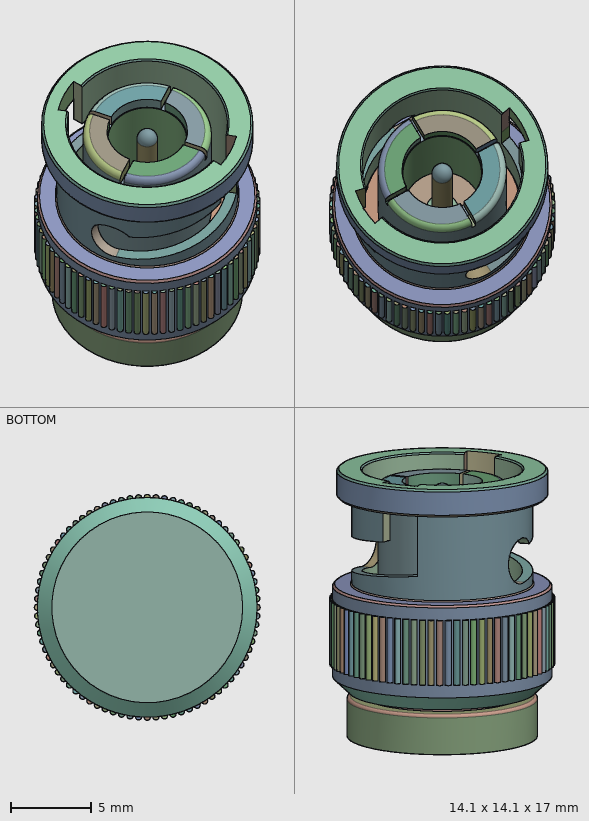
import cadquery as cq
import math

total_height = 17.0
rear_body_top = 2.55
flange_top = 2.74
nut_bottom = 2.85
nut_cone_top = 3.8
knurl_bottom = 4.62
nut_cavity_floor = 7.79
shoulder_top = 8.3
knurl_top = 8.75
nut_ring_top = 9.67
collar_bottom = 15.25
contact_top = 16.22

collar_radius = 13.2 / 2
sleeve_radius = 11.3 / 2
sleeve_bore_radius = 10.0 / 2
nut_ring_radius = 13.7 / 2
knurl_outer_radius = 14.1 / 2
nut_bottom_radius = 5.85
nut_edge_chamfer = 0.14
sleeve_root_chamfer = 0.08
bore_chamfer = 0.1
knurl_count = 80

locking_hole_radius = 1.45
locking_hole_z = 11.68
ramp_start_z = locking_hole_z - locking_hole_radius
ramp_height = 2.2
ramp_rise = 1.02
entry_half_angle = 12.5
slot_count = 2
cutter_overrun_inside = 0.68
cutter_overrun_outside = 0.07

contact_radius = 8.0 / 2
contact_neck_radius = 7.8 / 2
contact_flange_radius = 9.8 / 2
contact_lip_bore_radius = 5.0 / 2
contact_tip_fillet = 0.4
contact_slit_width = 0.25
contact_slit_angles = (0, 90)

dielectric_radius = 6.4 / 2
dielectric_bore_radius = 4.9 / 2
dielectric_top = 15.42
dielectric_floor = shoulder_top

pin_radius = 1.3 / 2
pin_base_radius = 2.0 / 2
pin_dome_center_z = 15.42

rear_body_radius = 11.9 / 2
rear_body_fillet = 0.2


def revolve_profile(profile):
    """Revolve an XZ half profile a full turn about the Z axis."""
    return profile.close().revolve(360, (0, 0, 0), (0, 1, 0))


def nut_blank():
    """Turned shape of the coupling nut: ring, sleeve and end collar."""
    profile = (
        cq.Workplane("XZ")
        .moveTo(contact_neck_radius, nut_bottom)
        .lineTo(nut_bottom_radius, nut_bottom)
        .lineTo(nut_ring_radius, nut_cone_top)
        .lineTo(nut_ring_radius, nut_ring_top - nut_edge_chamfer)
        .lineTo(nut_ring_radius - nut_edge_chamfer, nut_ring_top)
        .lineTo(sleeve_radius + sleeve_root_chamfer, nut_ring_top)
        .lineTo(sleeve_radius, nut_ring_top + sleeve_root_chamfer)
        .lineTo(sleeve_radius, collar_bottom - sleeve_root_chamfer)
        .lineTo(sleeve_radius + sleeve_root_chamfer, collar_bottom)
        .lineTo(collar_radius - nut_edge_chamfer, collar_bottom)
        .lineTo(collar_radius, collar_bottom + nut_edge_chamfer)
        .lineTo(collar_radius, total_height - nut_edge_chamfer)
        .lineTo(collar_radius - nut_edge_chamfer, total_height)
        .lineTo(sleeve_bore_radius + bore_chamfer, total_height)
        .lineTo(sleeve_bore_radius, total_height - bore_chamfer)
        .lineTo(sleeve_bore_radius, nut_cavity_floor)
        .lineTo(contact_neck_radius, nut_cavity_floor)
    )
    return revolve_profile(profile)


def polar(radius, angle):
    """Point in the XY plane at an angle in radians."""
    return (radius * math.cos(angle), radius * math.sin(angle))


def knurl_ridges():
    """Round vertical ridges, each centered on the ring's cylinder."""
    ridge_radius = knurl_outer_radius - nut_ring_radius
    return (
        cq.Workplane("XY", origin=(0, 0, knurl_bottom))
        .polarArray(nut_ring_radius, 0, 360, knurl_count)
        .circle(ridge_radius)
        .extrude(knurl_top - knurl_bottom)
    )


def locking_hole():
    """Round hole on the -Y side with walls that run radially."""
    inner_distance = sleeve_bore_radius - cutter_overrun_inside
    outer_distance = sleeve_radius + cutter_overrun_outside
    spread = math.tan(locking_hole_radius / sleeve_radius)
    return (
        cq.Workplane("XZ", origin=(0, -inner_distance, locking_hole_z))
        .ellipse(inner_distance * spread, locking_hole_radius)
        .workplane(offset=outer_distance - inner_distance)
        .ellipse(outer_distance * spread, locking_hole_radius)
        .loft(ruled=True)
    )


def ramp():
    """Helical slot that climbs from the locking hole to the far side of the entry channel."""
    sweep_angle = 90 + entry_half_angle
    pitch = ramp_rise * 360 / sweep_angle
    inner_radius = sleeve_bore_radius - cutter_overrun_inside
    outer_radius = sleeve_radius + cutter_overrun_outside
    helix = cq.Wire.makeHelix(pitch, ramp_rise, sleeve_radius)
    section = (
        cq.Workplane("XZ")
        .moveTo(inner_radius, 0)
        .lineTo(outer_radius, 0)
        .lineTo(outer_radius, ramp_height)
        .lineTo(inner_radius, ramp_height)
        .close()
    )
    swept = section.sweep(cq.Workplane(helix), isFrenet=True)
    return swept.rotate((0, 0, 0), (0, 0, 1), -90).translate((0, 0, ramp_start_z))


def entry_channel():
    """Radial-walled channel on the +X side, open at the top and as deep as the sleeve wall."""
    half_angle = math.radians(entry_half_angle)
    channel_bottom = ramp_start_z + ramp_rise + ramp_height / 2
    return (
        cq.Workplane("XY", origin=(0, 0, channel_bottom))
        .lineTo(*polar(sleeve_radius, -half_angle))
        .threePointArc((sleeve_radius, 0), polar(sleeve_radius, half_angle))
        .close()
        .extrude(total_height - channel_bottom)
    )


def make_coupling_nut():
    """Knurled nut with two bayonet slots half a turn apart."""
    nut = nut_blank()
    for index in range(slot_count):
        turn = index * 360 / slot_count
        for cutter in (locking_hole(), ramp(), entry_channel()):
            nut = nut.cut(cutter.rotate((0, 0, 0), (0, 0, 1), turn))
    return nut.union(knurl_ridges())


def make_outer_contact():
    """Slit tube whose neck carries the nut between a shoulder and a foot flange."""
    profile = (
        cq.Workplane("XZ")
        .moveTo(dielectric_radius, rear_body_top)
        .lineTo(contact_flange_radius, rear_body_top)
        .lineTo(contact_flange_radius, flange_top)
        .lineTo(contact_neck_radius, flange_top)
        .lineTo(contact_neck_radius, nut_cavity_floor)
        .lineTo(contact_flange_radius, nut_cavity_floor)
        .lineTo(contact_flange_radius, shoulder_top)
        .lineTo(contact_radius, shoulder_top)
        .lineTo(contact_radius, contact_top - contact_tip_fillet)
        .radiusArc((contact_radius - contact_tip_fillet, contact_top), -contact_tip_fillet)
        .lineTo(contact_lip_bore_radius, contact_top)
        .lineTo(contact_lip_bore_radius, dielectric_top)
        .lineTo(dielectric_radius, dielectric_top)
    )
    contact = revolve_profile(profile)
    for angle in contact_slit_angles:
        slit = (
            cq.Workplane("XY", origin=(0, 0, dielectric_top))
            .rect(2 * sleeve_radius, contact_slit_width)
            .extrude(contact_top - dielectric_top)
            .rotate((0, 0, 0), (0, 0, 1), angle)
        )
        contact = contact.cut(slit)
    return contact


def make_dielectric():
    """Insulating cup that lines the outer contact and holds the pin."""
    profile = (
        cq.Workplane("XZ")
        .moveTo(pin_base_radius, rear_body_top)
        .lineTo(dielectric_radius, rear_body_top)
        .lineTo(dielectric_radius, dielectric_top)
        .lineTo(dielectric_bore_radius, dielectric_top)
        .lineTo(dielectric_bore_radius, dielectric_floor)
        .lineTo(pin_base_radius, dielectric_floor)
    )
    return revolve_profile(profile)


def make_center_pin():
    """Round-nosed pin on a thicker base."""
    profile = (
        cq.Workplane("XZ")
        .moveTo(0, rear_body_top)
        .lineTo(pin_base_radius, rear_body_top)
        .lineTo(pin_base_radius, dielectric_floor)
        .lineTo(pin_radius, dielectric_floor)
        .lineTo(pin_radius, pin_dome_center_z)
        .radiusArc((0, pin_dome_center_z + pin_radius), -pin_radius)
    )
    return revolve_profile(profile)


def make_rear_body():
    """Plain cylinder with a rounded top edge."""
    return (
        cq.Workplane("XY")
        .circle(rear_body_radius)
        .extrude(rear_body_top)
        .faces(">Z")
        .edges()
        .fillet(rear_body_fillet)
    )


coupling_nut = make_coupling_nut()
outer_contact = make_outer_contact()
dielectric = make_dielectric()
center_pin = make_center_pin()
rear_body = make_rear_body()

result = cq.Compound.makeCompound([
    coupling_nut.solids().val(),
    outer_contact.solids().val(),
    dielectric.solids().val(),
    center_pin.solids().val(),
    rear_body.solids().val(),
])